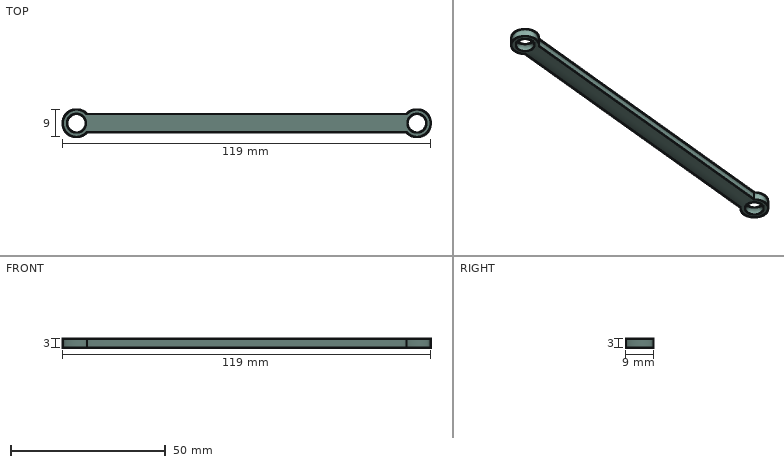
import cadquery as cq

hole_spacing = 110.0
eye_diameter = 9.0
hole_diameter = 6.0
bar_width = 6.0
thickness = 3.0

eye_centers = [(-hole_spacing / 2, 0), (hole_spacing / 2, 0)]


def make_bar():
    """Flat bar running from one eye centre to the other."""
    return cq.Workplane("XY").rect(hole_spacing, bar_width).extrude(thickness)


def make_eye_cylinders(diameter):
    """One upright cylinder at each eye centre."""
    return cq.Workplane("XY").pushPoints(eye_centers).circle(diameter / 2).extrude(thickness)


link = make_bar().union(make_eye_cylinders(eye_diameter))
result = link.cut(make_eye_cylinders(hole_diameter))